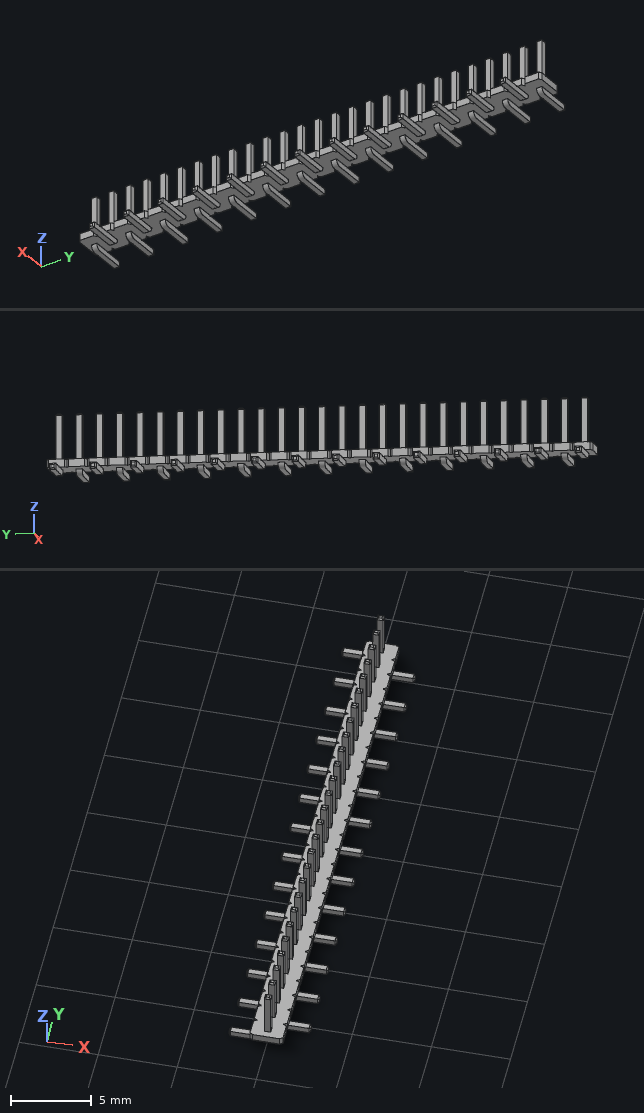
import cadquery as cq

PIN_COUNT = 27
PITCH = 1.27
PIN_SIZE = 0.4
PIN_HEIGHT = 3.9
FOOT_SPAN = 4.9
TIP_LENGTH = 0.1
TIP_SIZE = PIN_SIZE / 2
BEND_RADIUS = PIN_SIZE

BODY_WIDTH = 2.1
BODY_BOTTOM = PIN_SIZE
BODY_THICKNESS = 0.5
CHAMFER_X = 0.2
CHAMFER_Y = 0.13


def body_segment():
    """One pitch of the strip: a block with its four upright corners cut off."""
    half_x = BODY_WIDTH / 2
    half_y = PITCH / 2
    flat_x = half_x - CHAMFER_X
    flat_y = half_y - CHAMFER_Y
    outline = [
        (-flat_x, -half_y),
        (flat_x, -half_y),
        (half_x, -flat_y),
        (half_x, flat_y),
        (flat_x, half_y),
        (-flat_x, half_y),
        (-half_x, flat_y),
        (-half_x, -flat_y),
    ]
    return (
        cq.Workplane("XY")
        .workplane(offset=BODY_BOTTOM)
        .polyline(outline)
        .close()
        .extrude(BODY_THICKNESS)
    )


def tapered_tip(base_plane):
    """Blunt pyramid that ends a square bar, growing along the plane's normal."""
    return (
        cq.Workplane(base_plane)
        .rect(PIN_SIZE, PIN_SIZE)
        .workplane(offset=TIP_LENGTH)
        .rect(TIP_SIZE, TIP_SIZE)
        .loft(combine=True)
    )


def contact():
    """Upright square pin bent into a foot that points toward -X."""
    half_pin = PIN_SIZE / 2
    pin_shoulder = PIN_HEIGHT - TIP_LENGTH
    foot_shoulder = FOOT_SPAN / 2 - TIP_LENGTH
    bar = (
        cq.Workplane("XZ")
        .moveTo(-foot_shoulder, 0)
        .lineTo(half_pin - BEND_RADIUS, 0)
        .tangentArcPoint((half_pin, BEND_RADIUS), relative=False)
        .lineTo(half_pin, pin_shoulder)
        .lineTo(-half_pin, pin_shoulder)
        .lineTo(-half_pin, PIN_SIZE)
        .lineTo(-foot_shoulder, PIN_SIZE)
        .close()
        .extrude(half_pin, both=True)
    )
    pin_tip = tapered_tip(cq.Plane(origin=(0, 0, pin_shoulder)))
    foot_tip = tapered_tip(
        cq.Plane(origin=(-foot_shoulder, 0, half_pin), xDir=(0, 1, 0), normal=(-1, 0, 0))
    )
    return bar.union(pin_tip).union(foot_tip)


def header():
    """Strip of joined segments whose contacts point to -X and +X in turn."""
    left_contact = contact()
    right_contact = left_contact.rotate((0, 0, 0), (0, 0, 1), 180)
    segment = body_segment()
    left_unit = segment.union(left_contact)
    right_unit = segment.union(right_contact)
    first_y = -PITCH * (PIN_COUNT - 1) / 2
    strip = cq.Workplane("XY")
    for index in range(PIN_COUNT):
        unit = left_unit if index % 2 == 0 else right_unit
        strip = strip.union(unit.translate((0, first_y + index * PITCH, 0)))
    return strip


result = header()